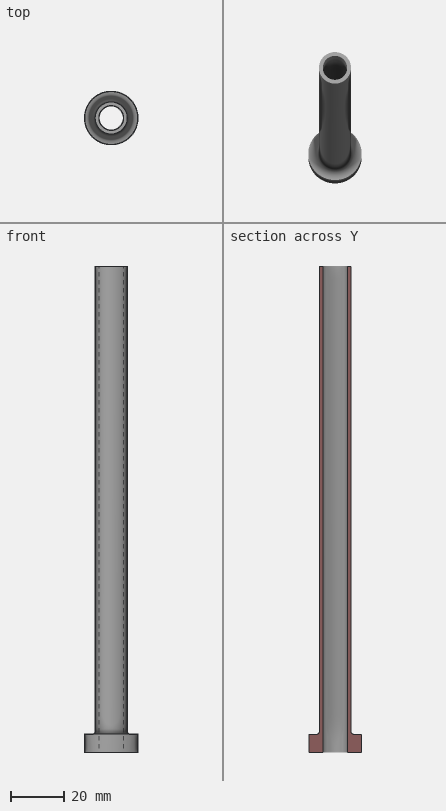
import cadquery as cq

total_length = 182.0
head_diameter = 20.0
head_height = 7.0
shank_diameter = 12.0
bore_diameter = 9.1
neck_fillet_radius = 1.0

head = cq.Workplane("XY").circle(head_diameter / 2).extrude(head_height)

shank = cq.Workplane("XY").circle(shank_diameter / 2).extrude(total_length)
body = head.union(shank)

smallest_circle = cq.selectors.RadiusNthSelector(0)
body = body.faces("<Z[1]").edges(smallest_circle).fillet(neck_fillet_radius)

bore = cq.Workplane("XY").circle(bore_diameter / 2).extrude(total_length)
result = body.cut(bore)